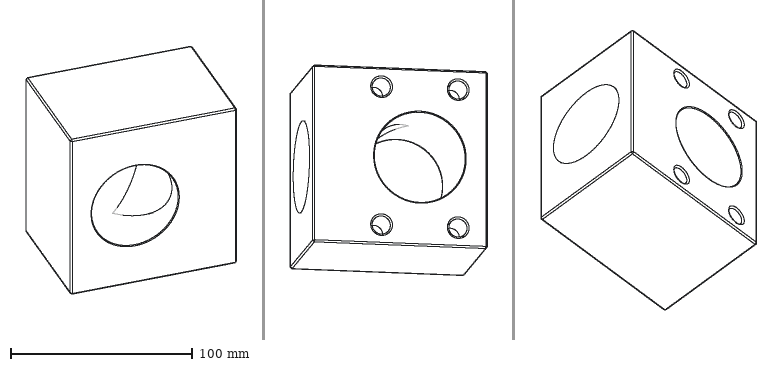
import cadquery as cq
import math

width = 72.0
depth = 98.0
height = 100.0
edge_chamfer = 1.0

bore_diameter = 51.0
bore_rim_chamfer = 0.5
bore_to_front_face = 38.0
bore_y = bore_to_front_face - depth / 2

bolt_spacing_y = 43.0
bolt_spacing_z = 78.0
drill_diameter = 10.2
drill_depth = 25.0
drill_tip_angle = 118.0
countersink_diameter = 12.2


def make_block():
    return cq.Workplane("XY").box(width, depth, height).edges().chamfer(edge_chamfer)


def make_main_bore():
    """Through bore with a small 45 degree chamfer at each end."""
    radius = bore_diameter / 2
    rim_radius = radius + bore_rim_chamfer
    end_x = width / 2
    inner_x = end_x - bore_rim_chamfer
    profile = [
        (-end_x, 0),
        (-end_x, rim_radius),
        (-inner_x, radius),
        (inner_x, radius),
        (end_x, rim_radius),
        (end_x, 0),
    ]
    bore = cq.Workplane("XY").polyline(profile).close().revolve(360, (0, 0), (1, 0))
    return bore.translate((0, bore_y, 0))


def make_branch_bore():
    """Bore from the main bore axis out through the +Y face."""
    start = cq.Workplane("XZ", origin=(0, bore_y, 0))
    return start.circle(bore_diameter / 2).extrude(bore_y - depth / 2)


def make_bolt_hole(y, z):
    """Drilled hole with a conical tip and a 45 degree countersink."""
    radius = drill_diameter / 2
    countersink_radius = countersink_diameter / 2
    countersink_depth = countersink_radius - radius
    tip_length = radius / math.tan(math.radians(drill_tip_angle / 2))
    profile = [
        (0, 0),
        (0, countersink_radius),
        (countersink_depth, radius),
        (drill_depth, radius),
        (drill_depth + tip_length, 0),
    ]
    hole = cq.Workplane("XY").polyline(profile).close().revolve(360, (0, 0), (1, 0))
    return hole.translate((-width / 2, y, z))


result = make_block().cut(make_main_bore()).cut(make_branch_bore())
for side_y in (-1, 1):
    for side_z in (-1, 1):
        hole_y = bore_y + side_y * bolt_spacing_y / 2
        hole_z = side_z * bolt_spacing_z / 2
        result = result.cut(make_bolt_hole(hole_y, hole_z))